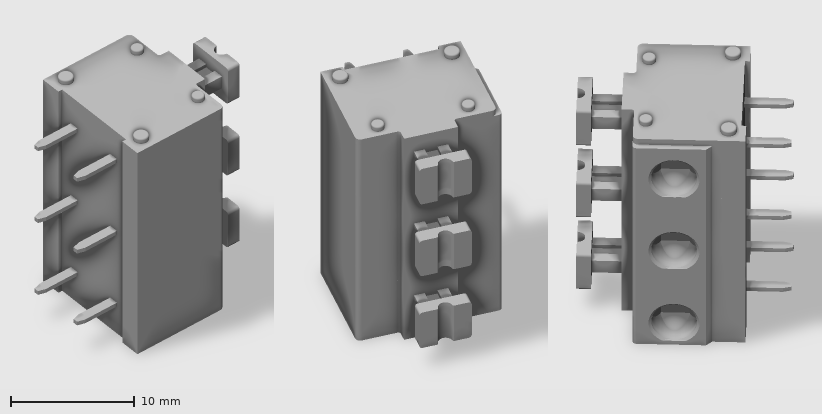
import cadquery as cq

MODULE_COUNT = 3
MODULE_PITCH = 7.61
MODULE_HEIGHT = 5.5
SPACER_HEIGHT = MODULE_PITCH - MODULE_HEIGHT
PEG_HEIGHT = 0.5
STACK_HEIGHT = 21.8
CAP_BOTTOM = (MODULE_COUNT - 1) * MODULE_PITCH + MODULE_HEIGHT
CAP_HEIGHT = STACK_HEIGHT - PEG_HEIGHT - CAP_BOTTOM

RIDGE_DEPTH = 0.48
BODY_RIGHT = 12.5
SHOULDER_Y = 9.15
BOSS_LEFT = 4.17
BOSS_RIGHT = 8.8
BOSS_TOP = 10.19
FOOT_HEIGHT = 0.4
LEFT_FOOT_END = 2.45
RIGHT_FOOT_START = 10.58
SHOULDER_RADIUS = 0.44
BOSS_ROOT_RADIUS = 0.22
RIDGE_BOTTOM = 2.7
RIDGE_RADIUS = 0.3

ENTRY_Y = 5.78
ENTRY_DIAMETER = 3.7
ENTRY_Z = 2.25
ENTRY_CHAMFER = 0.22
MOUTH_FLOOR_Z = 0.41
ENTRY_STRAIGHT_DEPTH = 1.3
ENTRY_DEPTH = 3.0
ENTRY_END_WIDTH = 2.33
ENTRY_END_BOTTOM = 0.87
ENTRY_END_TOP = 2.84

LEVER_X = (BOSS_LEFT + BOSS_RIGHT) / 2
LEVER_Z = 3.85
STEM_WIDTH = 2.92
STEM_THICKNESS = 1.25
STEM_GROOVE_WIDTH = 1.1
STEM_GROOVE_DEPTH = 0.35
HEAD_BOTTOM = 12.67
HEAD_TOP = 13.87
HEAD_WIDTH = 4.47
HEAD_HEIGHT = 3.75
HEAD_RADIUS = 0.26
NOTCH_DIAMETER = 1.25
NOTCH_DEPTH = 0.65
NOTCH_LIP_RADIUS = 0.13

PIN_CENTERS_X = (4.0, 8.99)
PIN_Z = 3.05
OVERALL_LENGTH_Y = 17.5
PIN_END_Y = HEAD_TOP - OVERALL_LENGTH_Y
PIN_WIDTH = 0.85
PIN_THICKNESS = 0.4
PIN_TIP_WIDTH = 0.44
PIN_TIP_LENGTH = 0.7

PEGS = (
    (2.6, 8.15, 1.1),
    (10.35, 8.15, 1.1),
    (1.7, 1.4, 1.3),
    (11.28, 1.4, 1.3),
)
PEG_RADIUS = 0.15


def box(x_range, y_range, z_range):
    """Axis-aligned box between the given limits."""
    size = [high - low for low, high in (x_range, y_range, z_range)]
    corner = (x_range[0], y_range[0], z_range[0])
    return cq.Workplane("XY").box(*size, centered=False).translate(corner)


def plate(z, height):
    """Slice of the main cross-section, without the ridge."""
    outline = [
        (RIDGE_DEPTH, 0),
        (LEFT_FOOT_END, 0),
        (LEFT_FOOT_END, FOOT_HEIGHT),
        (RIGHT_FOOT_START, FOOT_HEIGHT),
        (RIGHT_FOOT_START, 0),
        (BODY_RIGHT, 0),
        (BODY_RIGHT, SHOULDER_Y),
        (BOSS_RIGHT, SHOULDER_Y),
        (BOSS_RIGHT, BOSS_TOP),
        (BOSS_LEFT, BOSS_TOP),
        (BOSS_LEFT, SHOULDER_Y),
        (RIDGE_DEPTH, SHOULDER_Y),
    ]
    body = cq.Workplane("XY").workplane(offset=z).polyline(outline).close().extrude(height)
    mid_z = z + height / 2
    for x, radius in (
        (RIDGE_DEPTH, SHOULDER_RADIUS),
        (BODY_RIGHT, SHOULDER_RADIUS),
        (BOSS_LEFT, BOSS_ROOT_RADIUS),
        (BOSS_RIGHT, BOSS_ROOT_RADIUS),
    ):
        edge = cq.selectors.NearestToPointSelector((x, SHOULDER_Y, mid_z))
        body = body.edges("|Z").edges(edge).fillet(radius)
    return body


def ridged_plate(z, height):
    """Slice of the cross-section with the ridge along its left side."""
    inner_x = RIDGE_DEPTH + SHOULDER_RADIUS
    ridge = (
        box((0, inner_x), (RIDGE_BOTTOM, SHOULDER_Y), (z, z + height))
        .edges("|Z and <X and >Y").fillet(RIDGE_RADIUS)
        .edges("|Z and <X and <Y").chamfer(RIDGE_DEPTH)
    )
    return plate(z, height).union(ridge)


def wire_entry(z):
    """Void of the wire entry: chamfered bore whose inner end tapers to a rectangle."""
    radius = ENTRY_DIAMETER / 2
    face = cq.Workplane("YZ", origin=(0, ENTRY_Y, z + ENTRY_Z))
    bore = face.circle(radius).extrude(ENTRY_DEPTH)
    spread = ENTRY_DEPTH / (ENTRY_DEPTH - ENTRY_STRAIGHT_DEPTH)
    end_bottom = ENTRY_END_BOTTOM - ENTRY_Z
    end_top = ENTRY_END_TOP - ENTRY_Z
    mouth_side = ENTRY_END_WIDTH / 2 + (radius - ENTRY_END_WIDTH / 2) * spread
    mouth_bottom = end_bottom - (radius + end_bottom) * spread
    mouth_top = end_top + (radius - end_top) * spread
    funnel = (
        face.center(0, (mouth_top + mouth_bottom) / 2)
        .rect(2 * mouth_side, mouth_top - mouth_bottom)
        .workplane(offset=ENTRY_DEPTH)
        .center(0, (end_top + end_bottom - mouth_top - mouth_bottom) / 2)
        .rect(ENTRY_END_WIDTH, end_top - end_bottom)
        .loft(ruled=True)
    )
    mouth_radius = radius + ENTRY_CHAMFER
    mouth = face.circle(mouth_radius).workplane(offset=ENTRY_CHAMFER).circle(radius).loft()
    above_floor = box(
        (0, ENTRY_CHAMFER),
        (ENTRY_Y - mouth_radius, ENTRY_Y + mouth_radius),
        (z + MOUTH_FLOOR_Z, z + ENTRY_Z + mouth_radius),
    )
    return bore.intersect(funnel).union(mouth.intersect(above_floor))


def lever(z):
    """Stem rising from the boss, with a groove on top and a notched head at its end."""
    center_z = z + LEVER_Z
    stem_top = center_z + STEM_THICKNESS / 2
    stem = box(
        (LEVER_X - STEM_WIDTH / 2, LEVER_X + STEM_WIDTH / 2),
        (BOSS_TOP, HEAD_BOTTOM),
        (stem_top - STEM_THICKNESS, stem_top),
    )
    groove = box(
        (LEVER_X - STEM_GROOVE_WIDTH / 2, LEVER_X + STEM_GROOVE_WIDTH / 2),
        (BOSS_TOP, HEAD_BOTTOM),
        (stem_top - STEM_GROOVE_DEPTH, stem_top),
    )
    head = box(
        (LEVER_X - HEAD_WIDTH / 2, LEVER_X + HEAD_WIDTH / 2),
        (HEAD_BOTTOM, HEAD_TOP),
        (center_z - HEAD_HEIGHT / 2, center_z + HEAD_HEIGHT / 2),
    ).edges("|Y").fillet(HEAD_RADIUS)
    notch_radius = NOTCH_DIAMETER / 2
    notch_center_y = HEAD_TOP - NOTCH_DEPTH + notch_radius
    notch = (
        cq.Workplane("XY", origin=(LEVER_X, notch_center_y, center_z - HEAD_HEIGHT / 2))
        .moveTo(-notch_radius, HEAD_TOP - notch_center_y)
        .lineTo(-notch_radius, 0)
        .threePointArc((0, -notch_radius), (notch_radius, 0))
        .lineTo(notch_radius, HEAD_TOP - notch_center_y)
        .close()
        .extrude(HEAD_HEIGHT)
    )
    head = head.cut(notch)
    for side in (-1, 1):
        lip = cq.selectors.NearestToPointSelector((LEVER_X + side * notch_radius, HEAD_TOP, center_z))
        head = head.edges("|Z").edges(lip).fillet(NOTCH_LIP_RADIUS)
    return stem.cut(groove).union(head)


def pin(x, z):
    """Flat solder pin below the module, tapered at its tip."""
    taper_y = PIN_END_Y + PIN_TIP_LENGTH
    outline = [
        (x - PIN_WIDTH / 2, FOOT_HEIGHT),
        (x - PIN_WIDTH / 2, taper_y),
        (x - PIN_TIP_WIDTH / 2, PIN_END_Y),
        (x + PIN_TIP_WIDTH / 2, PIN_END_Y),
        (x + PIN_WIDTH / 2, taper_y),
        (x + PIN_WIDTH / 2, FOOT_HEIGHT),
    ]
    bottom_z = z + PIN_Z - PIN_THICKNESS / 2
    return cq.Workplane("XY").workplane(offset=bottom_z).polyline(outline).close().extrude(PIN_THICKNESS)


def terminal_module(z):
    """One pole of the block: body, wire entry, lever and two pins in one piece."""
    body = ridged_plate(z, MODULE_HEIGHT).cut(wire_entry(z)).union(lever(z))
    for x in PIN_CENTERS_X:
        body = body.union(pin(x, z))
    return body


def spacer(z):
    """Plain slice between two modules."""
    return ridged_plate(z, SPACER_HEIGHT)


def cap_plate():
    """Plate closing the stack, with four rounded pegs."""
    body = plate(CAP_BOTTOM, CAP_HEIGHT)
    for x, y, diameter in PEGS:
        peg = (
            cq.Workplane("XY", origin=(x, y, CAP_BOTTOM + CAP_HEIGHT))
            .circle(diameter / 2)
            .extrude(PEG_HEIGHT)
            .faces(">Z")
            .fillet(PEG_RADIUS)
        )
        body = body.union(peg)
    return body


modules = [terminal_module(i * MODULE_PITCH) for i in range(MODULE_COUNT)]
spacers = [spacer(i * MODULE_PITCH + MODULE_HEIGHT) for i in range(MODULE_COUNT - 1)]
cap = cap_plate()

result = cq.Compound.makeCompound(
    [
        *[module.val() for module in modules],
        *[piece.val() for piece in spacers],
        cap.val(),
    ]
)